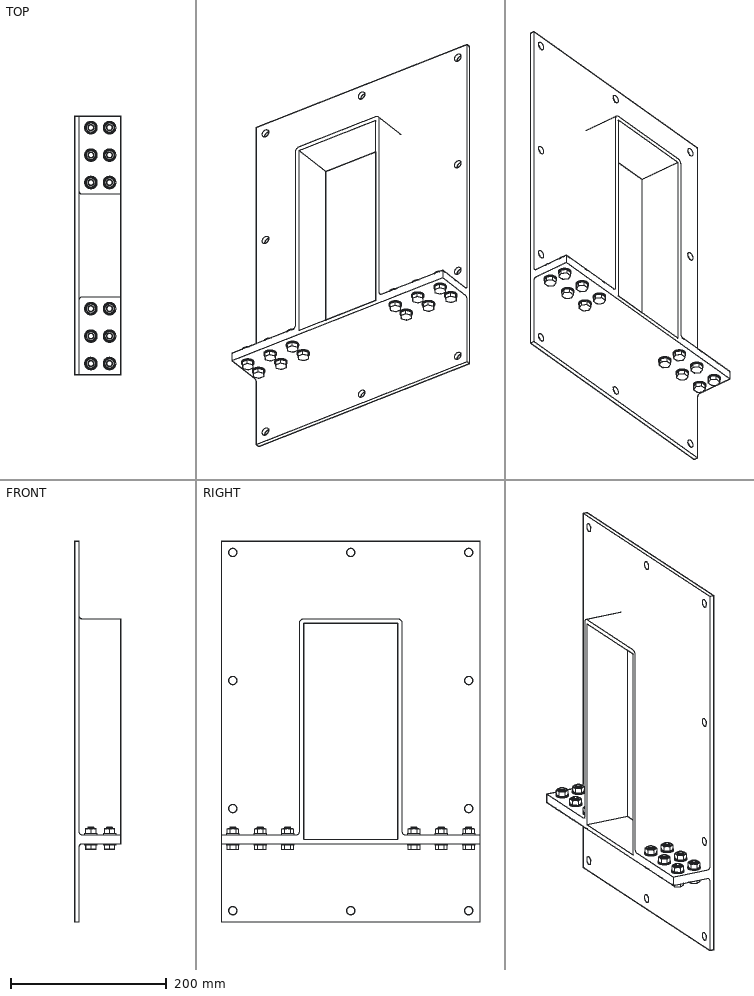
import cadquery as cq
import math

HEIGHT = 490.0
WIDTH = 332.5
DEPTH = 60.0
SHEET = 6.0
ROOT_RADIUS = 4.0

DUCT_OUTER_HALF = 66.0
DUCT_TOP = 145.0
DUCT_CORNER_RADIUS = SHEET
JOINT_Z = -138.5

MOUNT_DIAMETER = 10.5
MOUNT_INSET = 14.5
SIDE_HOLE_PITCH = 164.5

BOLT_DIAMETER = 8.0
WASHER_DIAMETER = 16.0
WASHER_THICKNESS = 1.5
HEX_ACROSS_FLATS = 13.0
HEAD_HEIGHT = 5.5
NUT_HEIGHT = 7.0
NUT_FACE_DIAMETER = 12.0
NUT_BEVEL_ANGLE = 30
THREAD_END = 1.5
THREAD_CHAMFER = 0.5
BOLT_INSET = 14.5
BOLT_PITCH = 35.5
BOLTS_PER_ROW = 3
BOLT_ROWS_X = (21.0, 45.0)

TOLERANCE = 0.05

HALF_HEIGHT = HEIGHT / 2
HALF_WIDTH = WIDTH / 2
FLANGE_TOP = JOINT_Z + SHEET
FLANGE_BOTTOM = JOINT_Z - SHEET
HEX_CORNER_RADIUS = HEX_ACROSS_FLATS / math.sqrt(3)


def block(x_range, y_range, z_range):
    """Box between the given coordinate limits."""
    (x0, x1), (y0, y1), (z0, z1) = x_range, y_range, z_range
    return cq.Workplane("XY").box(x1 - x0, y1 - y0, z1 - z0, centered=False).translate((x0, y0, z0))


def duct_block():
    """Solid outside shape of the duct along X, with its two upper corners rounded."""
    outer_y = (-DUCT_OUTER_HALF, DUCT_OUTER_HALF)
    outer = block((0, DEPTH), outer_y, (FLANGE_BOTTOM, DUCT_TOP))
    return outer.edges("|X and >Z").fillet(DUCT_CORNER_RADIUS)


def opening():
    """Cutter for the inside of the duct, through the plate."""
    inner_half = DUCT_OUTER_HALF - SHEET
    return block((0, DEPTH), (-inner_half, inner_half), (JOINT_Z, DUCT_TOP - SHEET))


def frame():
    """Plate with the duct and the flange pair behind it, and all root fillets."""
    full_width = (-HALF_WIDTH, HALF_WIDTH)
    plate = block((0, SHEET), full_width, (-HALF_HEIGHT, HALF_HEIGHT))
    flanges = block((0, DEPTH), full_width, (FLANGE_BOTTOM, FLANGE_TOP))
    body = plate.union(duct_block()).union(flanges)

    plate_roots = cq.selectors.BoxSelector(
        (SHEET - TOLERANCE, TOLERANCE - HALF_WIDTH, TOLERANCE - HALF_HEIGHT),
        (SHEET + TOLERANCE, HALF_WIDTH - TOLERANCE, HALF_HEIGHT - TOLERANCE),
    )
    wall_roots = cq.selectors.BoxSelector(
        (SHEET, -DUCT_OUTER_HALF - TOLERANCE, FLANGE_TOP - TOLERANCE),
        (DEPTH, DUCT_OUTER_HALF + TOLERANCE, FLANGE_TOP + TOLERANCE),
    )
    return body.edges(plate_roots + wall_roots).fillet(ROOT_RADIUS).cut(opening())


def mounting_holes():
    """Cutters for the holes along the edges of the plate."""
    edge_y = HALF_WIDTH - MOUNT_INSET
    top_z = HALF_HEIGHT - MOUNT_INSET
    side_rows = (top_z, top_z - SIDE_HOLE_PITCH, top_z - 2 * SIDE_HOLE_PITCH, -top_z)
    points = [(y, z) for z in side_rows for y in (-edge_y, edge_y)]
    points += [(0, top_z), (0, -top_z)]
    return cq.Workplane("YZ").pushPoints(points).circle(MOUNT_DIAMETER / 2).extrude(SHEET)


def bolt_points():
    """Bolt centres on the flanges, on both sides of the duct."""
    outer_y = HALF_WIDTH - BOLT_INSET
    rows_y = [outer_y - i * BOLT_PITCH for i in range(BOLTS_PER_ROW)]
    return [(x, side * y) for x in BOLT_ROWS_X for y in rows_y for side in (-1, 1)]


def disc(z, height, diameter):
    """Cylinder on the Z axis, standing on the given level."""
    return cq.Workplane("XY", origin=(0, 0, z)).circle(diameter / 2).extrude(height)


def hexagon(z, height):
    """Hexagonal prism on the Z axis, with two flats facing along X."""
    outline = cq.Sketch().regularPolygon(HEX_CORNER_RADIUS, 6)
    return cq.Workplane("XY", origin=(0, 0, z)).placeSketch(outline).extrude(height)


def nut(z):
    """Hexagonal nut whose upper corners are bevelled by a cone."""
    face_radius = NUT_FACE_DIAMETER / 2
    drop = (HEX_CORNER_RADIUS - face_radius) * math.tan(math.radians(NUT_BEVEL_ANGLE))
    top = z + NUT_HEIGHT
    envelope = (
        cq.Workplane("XZ")
        .moveTo(0, z)
        .lineTo(HEX_CORNER_RADIUS, z)
        .lineTo(HEX_CORNER_RADIUS, top - drop)
        .lineTo(face_radius, top)
        .lineTo(0, top)
        .close()
        .revolve(360, (0, 0), (0, 1))
    )
    return hexagon(z, NUT_HEIGHT).intersect(envelope)


def fastener():
    """Bolt on the Z axis, with head and washer below the flanges, washer and nut above."""
    upper_washer = disc(FLANGE_TOP, WASHER_THICKNESS, WASHER_DIAMETER)
    nut_bottom = FLANGE_TOP + WASHER_THICKNESS
    lower_washer_bottom = FLANGE_BOTTOM - WASHER_THICKNESS
    lower_washer = disc(lower_washer_bottom, WASHER_THICKNESS, WASHER_DIAMETER)
    head = hexagon(lower_washer_bottom - HEAD_HEIGHT, HEAD_HEIGHT)
    shank_length = nut_bottom + NUT_HEIGHT + THREAD_END - lower_washer_bottom
    shank = disc(lower_washer_bottom, shank_length, BOLT_DIAMETER).faces(">Z").chamfer(THREAD_CHAMFER)
    return shank.union(head).union(lower_washer).union(upper_washer).union(nut(nut_bottom))


result = frame().cut(mounting_holes())
bolt = fastener()
for x, y in bolt_points():
    result = result.union(bolt.translate((x, y, 0)))